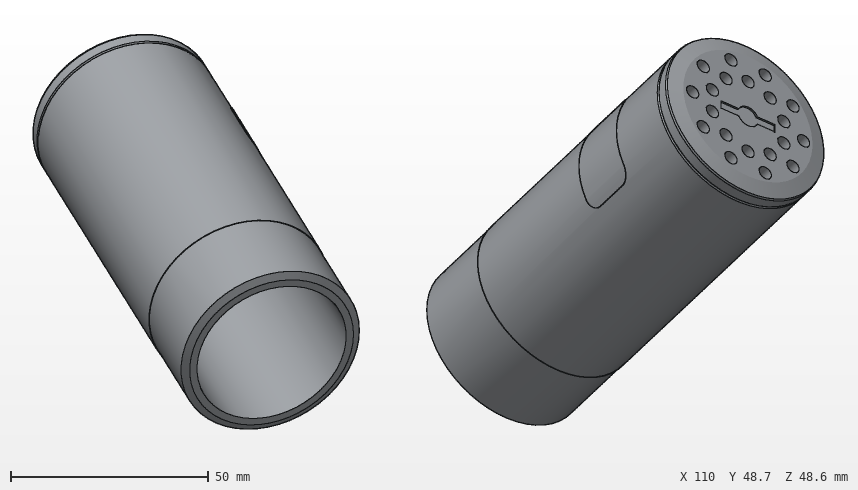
import cadquery as cq

length = 110.0
body_radius = 48.6 / 2
rear_radius = 48.3 / 2
rear_start = 86.0

bore_radius = 40.4 / 2
wall_thickness = rear_radius - bore_radius

face_radius = 39.7 / 2
cone_length = 1.1
bevel_length = 0.5
bevel_height = 0.2

groove_center = 5.0
groove_width = 0.8
groove_depth = 0.3

rear_chamfer_length = 1.0
rear_chamfer_height = wall_thickness / 2

hole_diameter = 3.7
holes_per_ring = 10
outer_ring_radius = 17.0
inner_ring_radius = 11.5

slot_length = 16.6
slot_width = 2.4
slot_middle_diameter = 6.2
slot_depth = 0.5

pad_start = 23.5
pad_length = 16.8
pad_height = 27.5
pad_corner_radius = 3.5
pad_thickness = 0.13


def make_body():
    cone_end_radius = body_radius - bevel_height
    outline = [
        (0, 0),
        (0, face_radius),
        (cone_length, cone_end_radius),
        (cone_length + bevel_length, body_radius),
        (groove_center - groove_width / 2, body_radius),
        (groove_center, body_radius - groove_depth),
        (groove_center + groove_width / 2, body_radius),
        (rear_start, body_radius),
        (rear_start, rear_radius),
        (length - rear_chamfer_length, rear_radius),
        (length, rear_radius - rear_chamfer_height),
        (length, bore_radius),
        (wall_thickness, bore_radius),
        (wall_thickness, 0),
    ]
    return cq.Workplane("XY").polyline(outline).close().revolve(360, (0, 0, 0), (1, 0, 0))


def make_hole_ring(ring_radius, start_angle):
    return (
        cq.Workplane("YZ")
        .polarArray(ring_radius, start_angle, 360, holes_per_ring)
        .circle(hole_diameter / 2)
        .extrude(wall_thickness)
    )


def make_slot():
    bar = cq.Workplane("YZ").rect(slot_length, slot_width).extrude(slot_depth)
    middle = cq.Workplane("YZ").circle(slot_middle_diameter / 2).extrude(slot_depth)
    return bar.union(middle)


def make_label_pad():
    shell = (
        cq.Workplane("YZ", origin=(pad_start, 0, 0))
        .circle(body_radius + pad_thickness)
        .circle(body_radius - pad_thickness)
        .extrude(pad_length)
    )
    boundary = (
        cq.Workplane("XZ", origin=(pad_start + pad_length / 2, 0, 0))
        .rect(pad_length, pad_height)
        .extrude(-2 * body_radius)
        .edges("|Y")
        .fillet(pad_corner_radius)
    )
    return shell.intersect(boundary)


half_pitch = 180 / holes_per_ring
result = (
    make_body()
    .union(make_label_pad())
    .cut(make_hole_ring(outer_ring_radius, 0))
    .cut(make_hole_ring(inner_ring_radius, half_pitch))
    .cut(make_slot())
)